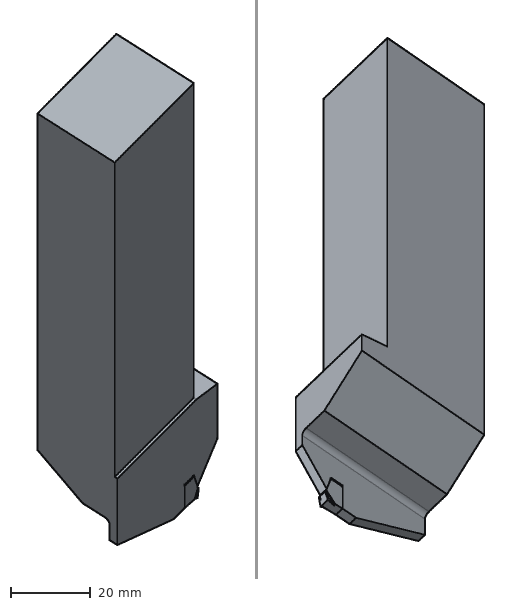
import cadquery as cq

total_length = 171.4

shank_width = 24.8
shank_depth = 31.9
side_taper = 0.14

head_width = 25.7
head_depth = 40.3
head_top = 40.8
foot_top = 38.5

relief_top = 31.7
relief_bottom = 21.5
relief_slope_end = 14.5
blade_thickness = 2.5
blade_left = head_width - blade_thickness
blade_fillet = 1.5

blade_bottom = 0.5
blade_front_corner = 13.2
blade_back_corner = 15.8
blade_bottom_front = 22.6
blade_tip_depth = 29.6

insert_front = 27.0
insert_top = 9.8
insert_top_back = 30.8
insert_back = 32.4
insert_tip_back = 31.9
nose_top = 3.6
insert_right = 26.0
rake_depth = 0.5
lip_front = 31.2
pocket_clearance = 0.5

cut_margin = 1.7


def side_prism(points, left, right):
    """Extrude a (Y, Z) outline along X from left to right."""
    return cq.Workplane("YZ").workplane(offset=left).polyline(points).close().extrude(right - left)


def insert_outline(top):
    return [
        (insert_front, blade_bottom),
        (insert_front, top),
        (insert_top_back, top),
        (insert_back, nose_top),
        (insert_tip_back, 0),
    ]


def make_holder():
    shank = cq.Workplane("XY").box(
        shank_width, shank_depth, total_length - head_top, centered=False
    ).translate((0, 0, head_top))
    head = side_prism(
        [
            (0, head_top),
            (shank_depth, head_top),
            (head_depth, foot_top),
            (head_depth, blade_back_corner),
            (blade_tip_depth, blade_bottom),
            (blade_bottom_front, blade_bottom),
            (0, blade_front_corner),
        ],
        0,
        head_width,
    )
    body = shank.union(head)

    taper_cutter = (
        cq.Workplane("XY")
        .polyline([(0, head_depth), (side_taper, 0), (0, 0)])
        .close()
        .extrude(total_length)
    )

    relief_cutter = (
        cq.Workplane("XZ")
        .moveTo(0, relief_top)
        .lineTo(relief_slope_end, relief_bottom)
        .lineTo(blade_left - blade_fillet, relief_bottom)
        .radiusArc((blade_left, relief_bottom - blade_fillet), blade_fillet)
        .lineTo(blade_left, -cut_margin)
        .lineTo(-cut_margin, -cut_margin)
        .lineTo(-cut_margin, relief_top)
        .close()
        .extrude(-head_depth)
    )
    pocket = side_prism(insert_outline(insert_top + pocket_clearance), blade_left, head_width)
    return body.cut(taper_cutter).cut(relief_cutter).cut(pocket)


def make_insert():
    body = side_prism(insert_outline(insert_top), blade_left, head_width)

    lip = side_prism(
        [(lip_front, blade_bottom), (insert_back, nose_top), (insert_tip_back, 0)],
        head_width,
        insert_right,
    )

    line_start = cq.Vector(blade_left, blade_tip_depth, blade_bottom)
    line_end = cq.Vector(blade_left, insert_back, nose_top)
    tip = cq.Vector(blade_left, insert_tip_back, 0)
    along_line = (line_end - line_start).normalized()
    toward_tip = along_line.cross(cq.Vector(1, 0, 0))
    rake_width = (tip - line_start).dot(toward_tip)
    line_plane = cq.Plane(origin=line_start, xDir=toward_tip, normal=-along_line)
    rake_cutter = (
        cq.Workplane(line_plane)
        .polyline([(0, 0), (0, rake_depth), (rake_width, 0)])
        .close()
        .extrude(cut_margin + (line_end - line_start).Length, both=True)
    )
    return body.union(lip).cut(rake_cutter)


holder = make_holder()
insert = make_insert()
result = cq.Compound.makeCompound([holder.val(), insert.val()])